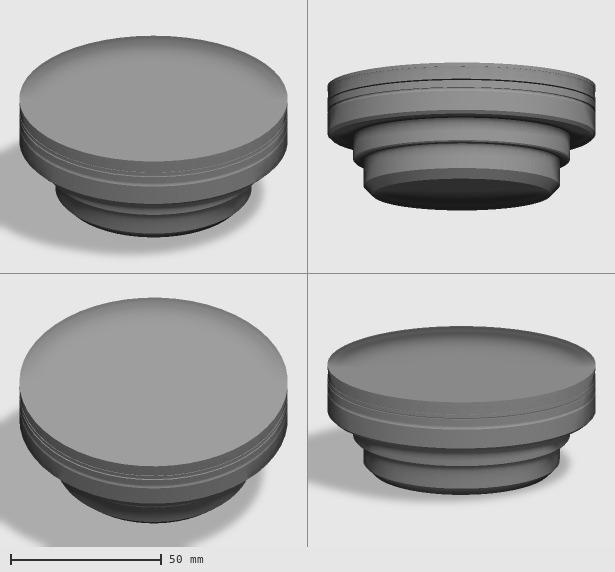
import cadquery as cq

total_height = 36.4

head_radius = 44.5
head_bottom = 19.4
head_chamfer = 1.1

shoulder_radius = 36.0
shoulder_bottom = 11.4
shoulder_chamfer = 0.45

spigot_radius = 32.6
spigot_chamfer = 3.0

band_bottom = 32.2
band_top = 35.15
band_depth = 0.2

slit_bottom = 30.5
slit_width = 0.45
slit_depth = 3.2

bevel_bottom = 27.0
bevel_height = 1.2
bevel_depth = 0.7


def cylinder(radius, bottom, top):
    return cq.Workplane("XY").workplane(offset=bottom).circle(radius).extrude(top - bottom)


def ring_groove(bottom, height, depth):
    """Rectangular ring to cut from the side of the head."""
    return cylinder(head_radius, bottom, bottom + height).cut(
        cylinder(head_radius - depth, bottom, bottom + height)
    )


def bevelled_groove():
    """Triangular ring whose lower wall slopes outward and down."""
    top = bevel_bottom + bevel_height
    return (
        cq.Workplane("XZ")
        .moveTo(head_radius, bevel_bottom)
        .lineTo(head_radius, top)
        .lineTo(head_radius - bevel_depth, top)
        .close()
        .revolve(360, (0, 0, 0), (0, 1, 0))
    )


spigot = cylinder(spigot_radius, 0, shoulder_bottom).faces("<Z").chamfer(spigot_chamfer)
shoulder = cylinder(shoulder_radius, shoulder_bottom, head_bottom).faces("<Z").chamfer(shoulder_chamfer)
head = cylinder(head_radius, head_bottom, total_height).faces("<Z").chamfer(head_chamfer)

head = head.cut(ring_groove(band_bottom, band_top - band_bottom, band_depth))
head = head.cut(ring_groove(slit_bottom, slit_width, slit_depth))
head = head.cut(bevelled_groove())

result = head.union(shoulder).union(spigot)